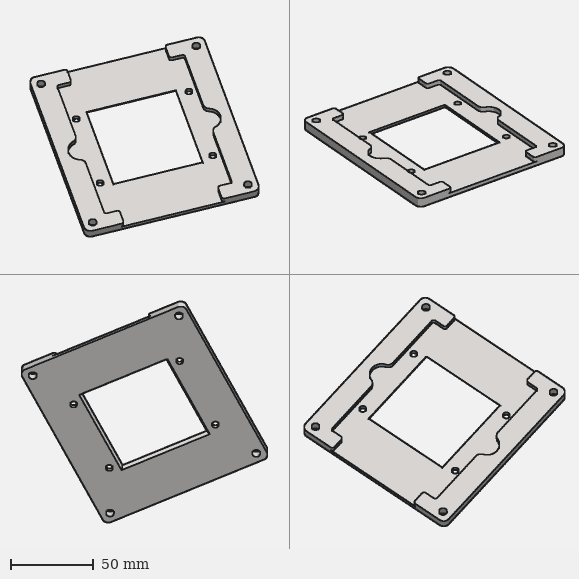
import cadquery as cq

length = 120.0
width = 110.0
thickness = 6.0
corner_radius = 4.0

floor_height = 2.9
channel_width = 61.9
window_size = 56.2
window_flare = 1.5

pocket_length = 100.1
pocket_edge_y = 40.2
pocket_corner_radius = 1.5
rail_end_radius = 1.5
bump_radius = 7.5
bump_top_y = 47.9
bump_blend_radius = 4.0

corner_hole_diameter = 4.8
corner_hole_x = 54.0
corner_hole_y = 49.0
pocket_hole_diameter = 4.2
pocket_hole_x = 25.0
pocket_hole_y = 35.5


def make_plate():
    plate = cq.Workplane("XY").box(length, width, thickness, centered=(True, True, False))
    return plate.edges("|Z").fillet(corner_radius)


def vertical_edges_at(body, x, y):
    """Select the vertical edges at one XY position and its mirror images."""
    size = 0.1
    points = [(sx * x, sy * y) for sx in (-1, 1) for sy in (-1, 1)]
    selector = None
    for px, py in points:
        box = cq.selectors.BoxSelector(
            (px - size, py - size, 0), (px + size, py + size, 2 * thickness)
        )
        selector = box if selector is None else selector + box
    return body.edges("|Z").edges(selector)


def make_recess():
    """Channel, pockets and round bumps as one cutter above the floor."""
    depth = thickness - floor_height
    floor = cq.Workplane("XY").workplane(offset=floor_height)
    bump_center_y = bump_top_y - bump_radius
    bump_centers = [(0, bump_center_y), (0, -bump_center_y)]
    pockets = floor.rect(pocket_length, 2 * pocket_edge_y).extrude(depth)
    bumps = floor.pushPoints(bump_centers).circle(bump_radius).extrude(depth)
    edge_offset = pocket_edge_y - bump_center_y
    bump_half_chord = (bump_radius**2 - edge_offset**2) ** 0.5
    channel = floor.rect(2 * length, channel_width).extrude(depth)
    recess = pockets.union(bumps).union(channel)
    recess = vertical_edges_at(recess, bump_half_chord, pocket_edge_y).fillet(bump_blend_radius)
    recess = vertical_edges_at(recess, pocket_length / 2, pocket_edge_y).fillet(pocket_corner_radius)
    return vertical_edges_at(recess, pocket_length / 2, channel_width / 2).fillet(rail_end_radius)


def make_window():
    """Square window that widens toward the underside of the floor."""
    bottom_size = window_size + 2 * window_flare
    bottom = cq.Workplane("XY").rect(bottom_size, bottom_size)
    return bottom.workplane(offset=floor_height).rect(window_size, window_size).loft(ruled=True)


def through_holes(body, x, y, diameter):
    holes = cq.Workplane("XY").rect(2 * x, 2 * y, forConstruction=True).vertices()
    return body.cut(holes.circle(diameter / 2).extrude(thickness))


def round_outer_rail_corners(body):
    """Round the rail corners where the channel leaves the plate."""
    return vertical_edges_at(body, length / 2, channel_width / 2).fillet(rail_end_radius)


result = make_plate().cut(make_recess())
result = round_outer_rail_corners(result)
result = result.cut(make_window())
result = through_holes(result, corner_hole_x, corner_hole_y, corner_hole_diameter)
result = through_holes(result, pocket_hole_x, pocket_hole_y, pocket_hole_diameter)